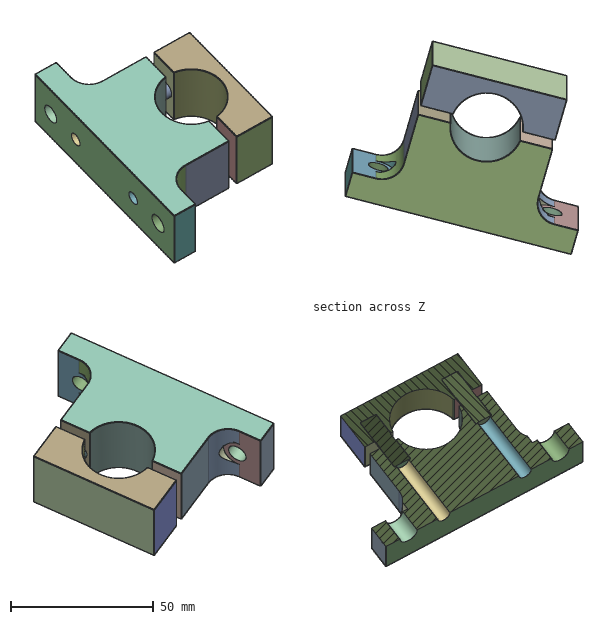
import cadquery as cq
import math

foot_length = 82.55
foot_thickness = 9.5
block_height = 25.4
post_width = 49.2
total_depth = 55.55
edge_break = 0.25

bore_diameter = 25.4
bore_center_y = 38.05
clamp_gap = 3.2
post_top_y = bore_center_y - clamp_gap / 2
cap_bottom_y = bore_center_y + clamp_gap / 2

blend_radius = 7.9

mount_spacing = 63.5
mount_diameter = 7.1
head_clearance_diameter = 11.15

pin_spacing = 34.0
pin_diameter = 6.4
pin_seat_depth = 9.5
pin_start_y = post_top_y - pin_seat_depth
pin_length = clamp_gap + 2 * pin_seat_depth

access_diameter = 5.0

pin_positions = (-pin_spacing / 2, pin_spacing / 2)
mount_positions = (-mount_spacing / 2, mount_spacing / 2)


def rod(x, diameter, start_y, end_y):
    """Round bar parallel to Y at mid height, between two Y positions."""
    return (
        cq.Workplane("XZ", origin=(x, start_y, 0))
        .circle(diameter / 2)
        .extrude(start_y - end_y)
    )


def shaft():
    """Cylinder that fills the shaft bore."""
    return (
        cq.Workplane("XY", origin=(0, bore_center_y, 0))
        .circle(bore_diameter / 2)
        .extrude(block_height / 2, both=True)
    )


def make_pin(x):
    return rod(x, pin_diameter, pin_start_y, pin_start_y + pin_length)


def base_blank():
    """Foot and post with the lower part of the bore, edges broken, before drilling."""
    half_foot = foot_length / 2
    half_post = post_width / 2
    blend_center_x = half_post + blend_radius
    blend_center_y = foot_thickness + blend_radius
    blend_mid_offset = blend_radius * math.sqrt(0.5)
    blend_mid_x = blend_center_x - blend_mid_offset
    blend_mid_y = blend_center_y - blend_mid_offset
    blank = (
        cq.Workplane("XY")
        .moveTo(-half_foot, 0)
        .lineTo(half_foot, 0)
        .lineTo(half_foot, foot_thickness)
        .lineTo(blend_center_x, foot_thickness)
        .threePointArc((blend_mid_x, blend_mid_y), (half_post, blend_center_y))
        .lineTo(half_post, post_top_y)
        .lineTo(-half_post, post_top_y)
        .lineTo(-half_post, blend_center_y)
        .threePointArc((-blend_mid_x, blend_mid_y), (-blend_center_x, foot_thickness))
        .lineTo(-half_foot, foot_thickness)
        .close()
        .extrude(block_height / 2, both=True)
        .cut(shaft())
    )
    face_outlines = blank.faces("|Z").edges()
    upright_corners = blank.edges("|Z").edges("<X or >X or >Y")
    return blank.newObject(face_outlines.vals() + upright_corners.vals()).chamfer(edge_break)


def make_base():
    base = base_blank()
    for x in mount_positions:
        base = base.cut(rod(x, mount_diameter, 0, foot_thickness))
        base = base.cut(rod(x, head_clearance_diameter, foot_thickness, post_top_y))
    for x in pin_positions:
        base = base.cut(rod(x, access_diameter, 0, pin_start_y))
        base = base.cut(make_pin(x))
    return base


def make_cap():
    cap = (
        cq.Workplane("XY", origin=(0, (cap_bottom_y + total_depth) / 2, 0))
        .box(post_width, total_depth - cap_bottom_y, block_height)
        .cut(shaft())
        .edges()
        .chamfer(edge_break)
    )
    for x in pin_positions:
        cap = cap.cut(make_pin(x))
    return cap


base = make_base()
cap = make_cap()
pins = [make_pin(x).val() for x in pin_positions]

result = cq.Compound.makeCompound([base.val(), cap.val(), *pins])